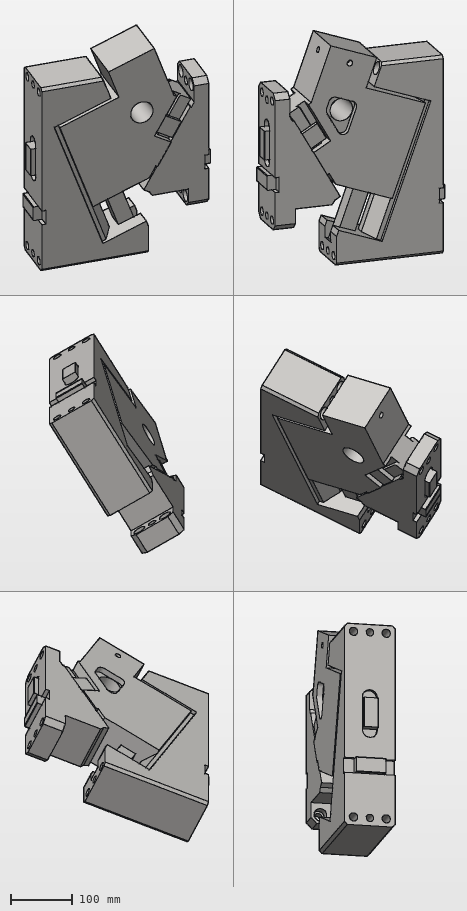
import cadquery as cq
import math

LEAN = math.radians(20)
RAMP_LEAN = math.radians(30)
WEDGE = LEAN + RAMP_LEAN

front_width = 85.0
front_depth = 185.0
front_height = 340.5
front_chamfer = 5.0
seat_foot = (106.2, 33.5)
seat_length = 246.5
lower_lip_reach = 80.0
upper_lip_reach = 104.5
seat_gap = 8.0
ridge_width = 71.5
ridge_crest_width = 15.0
ridge_height = 25.0
guide_bar_size = 28.0
guide_bar_offset = 39.0
lip_slot_depth = 28.0

slide_bottom = 73.2
slide_top = 241.3
head_top = 294.8
head_front = 117.2
head_back = 202.0
ramp_nose = 171.0
relief_end = 46.5
relief_gap = 3.8
notch_floor = 94.0
notch_height = 33.8
tongue_width = 58.5
undercut_width = 45.5
undercut_start = 21.2
lip_radius = 3.8
window_depth = 10.0
window_top = 214.0
window_front = 122.0
window_back = 172.2
window_ramp_gap = 52.5
window_radius = 9.5
eye_diameter = 38.7
eye_along = 194.2
eye_away = 142.3
pin_hole_diameter = 9.5
pin_hole_depth = 15.0
pin_hole_along = 274.5
drill_point_angle = 118

rear_width = 80.0
rear_chamfer = 10.0
rear_back = 290.5
rear_bottom = 70.0
rear_top = 305.0
flange_thickness = 25.5
foot_thickness = 35.3
belly_bottom = 105.0
toe_along = 55.0
toe_away = 96.0
toe_face = 10.5
toe_bevel_back = 192.5
ramp_recess_start = 161.2
ramp_recess = 2.3
gib_start = 100.5
gib_end = 131.5
gib_height = 31.0
gib_outer_width = 76.0
gib_inner_width = 60.7

key_length = 49.5
key_width = 24.5
key_protrusion = 8.7
key_chamfer = 1.0
keyway_length = 80.5
cross_slot_width = 25.5
keyway_depth = 7.0
front_upright_key_z = 189.7
front_cross_key_z = 100.5
rear_upright_key_z = 210.0
rear_cross_key_z = 150.0

side_hole_diameter = 13.5
side_counterbore = 21.0
middle_hole_diameter = 12.0
middle_counterbore = 14.0
front_hole_spacing = 27.5
front_hole_inset = 13.3
front_counterbore_floor = 76.0
rear_hole_spacing = 24.3
rear_hole_inset = 15.0
rear_middle_hole_drop = 5.5
rear_counterbore_depth = 7.5


def guide_point(along, away):
    """(Y, Z) of a point given along the guide seat and away from it."""
    y = seat_foot[0] - along * math.sin(LEAN) + away * math.cos(LEAN)
    z = seat_foot[1] + along * math.cos(LEAN) + away * math.sin(LEAN)
    return (y, z)


RAMP_TOE = guide_point(toe_along, toe_away)


def ramp_point(along, above):
    """(Y, Z) of a point given along the ramp from its toe and above it."""
    y = RAMP_TOE[0] + along * math.sin(RAMP_LEAN) - above * math.cos(RAMP_LEAN)
    z = RAMP_TOE[1] + along * math.cos(RAMP_LEAN) + above * math.sin(RAMP_LEAN)
    return (y, z)


def ramp_point_at_away(along, away):
    """Point at a given place along the ramp and a given distance from the seat."""
    above = (toe_away + along * math.sin(WEDGE) - away) / math.cos(WEDGE)
    return ramp_point(along, above)


def guide_point_above_ramp(along, above):
    """Point at a given place along the guide and a given height above the ramp."""
    along_ramp = (along - toe_along - above * math.sin(WEDGE)) / math.cos(WEDGE)
    return ramp_point(along_ramp, above)


def away_point_above_ramp(away, above):
    """Point at a given distance from the seat and a given height above the ramp."""
    along_ramp = (away - toe_away + above * math.cos(WEDGE)) / math.sin(WEDGE)
    return ramp_point(along_ramp, above)


def plate(points, x_min, x_max):
    """Prism of a (Y, Z) outline between two X positions."""
    return cq.Workplane("YZ", origin=(x_min, 0, 0)).polyline(points).close().extrude(x_max - x_min)


def middle_plate(points, width):
    return plate(points, -width / 2, width / 2)


def side_plates(points, inner_width, outer_width):
    """The same outline on both sides of the middle, between two overall widths."""
    left = plate(points, -outer_width / 2, -inner_width / 2)
    return left.union(plate(points, inner_width / 2, outer_width / 2))


def box_outline(place, first, last, low, high):
    """Rectangle in guide or ramp coordinates, `place` being the point function."""
    return [place(first, low), place(last, low), place(last, high), place(first, high)]


def y_cylinder(x, z, diameter, y_min, y_max):
    """Cylinder along Y between two Y positions."""
    return cq.Workplane("XZ", origin=(x, y_min, z)).circle(diameter / 2).extrude(y_min - y_max)


def x_cylinder(centre, radius):
    """Cylinder along X at a (Y, Z) centre, through the full width."""
    return cq.Workplane("YZ").center(*centre).circle(radius).extrude(front_width / 2, both=True)


def y_box(x_size, z_size, z, y_min, y_max):
    """Box centred on X = 0 and on the height z, between two Y positions."""
    return cq.Workplane("XY").box(x_size, y_max - y_min, z_size).translate((0, (y_min + y_max) / 2, z))


def add_keys(base, face_y, outward, upright_z, cross_z):
    """Cut both keyways into a mounting face and set the keys; `outward` is -1 or 1 along Y."""
    floor_y = face_y - outward * keyway_depth
    crown_y = face_y + outward * key_protrusion
    keyway = (
        cq.Workplane("XZ", origin=(0, face_y, upright_z))
        .slot2D(keyway_length, key_width, 90)
        .extrude(outward * keyway_depth)
    )
    slot_y = sorted([floor_y, face_y])
    cross_slot = y_box(front_width, cross_slot_width, cross_z, *slot_y)
    key_y = sorted([floor_y, crown_y])
    crown = "<Y" if outward < 0 else ">Y"
    upright_key = y_box(key_width, key_length, upright_z, *key_y)
    upright_key = upright_key.faces(crown).edges("|Z").chamfer(key_chamfer)
    cross_key = y_box(key_length, cross_slot_width, cross_z, *key_y)
    cross_key = cross_key.faces(crown).edges("|X").chamfer(key_chamfer)
    return base.cut(keyway).cut(cross_slot).union(upright_key).union(cross_key)


def hole_row(spacing):
    """(X, bore, counterbore) of the three holes in a mounting row."""
    return [
        (-spacing, side_hole_diameter, side_counterbore),
        (0, middle_hole_diameter, middle_counterbore),
        (spacing, side_hole_diameter, side_counterbore),
    ]


def make_guide():
    """Tapered ridge on the seat and the square bar that spans the slide pocket."""
    seat_plane = cq.Plane(
        origin=(0, *seat_foot),
        xDir=(1, 0, 0),
        normal=(0, -math.sin(LEAN), math.cos(LEAN)),
    )
    ridge = (
        cq.Workplane(seat_plane)
        .moveTo(-ridge_width / 2, -seat_gap)
        .lineTo(ridge_width / 2, -seat_gap)
        .lineTo(ridge_width / 2, seat_gap)
        .lineTo(ridge_crest_width / 2, ridge_height)
        .lineTo(-ridge_crest_width / 2, ridge_height)
        .lineTo(-ridge_width / 2, seat_gap)
        .close()
        .extrude(seat_length)
    )
    bar_outline = box_outline(
        guide_point, 0, seat_length, guide_bar_offset, guide_bar_offset + guide_bar_size
    )
    return ridge.union(middle_plate(bar_outline, guide_bar_size))


def make_front_base():
    lower_lip_drop = (guide_point(0, lower_lip_reach)[0] - front_depth) / math.sin(LEAN)
    upper_lip_end = guide_point(seat_length, upper_lip_reach)
    rise = front_height - upper_lip_end[1]
    outline = [
        (0, 0),
        (front_depth, 0),
        guide_point(lower_lip_drop, lower_lip_reach),
        guide_point(0, lower_lip_reach),
        seat_foot,
        guide_point(seat_length, 0),
        upper_lip_end,
        (upper_lip_end[0] - rise * math.tan(LEAN), front_height),
        (0, front_height),
    ]
    base = middle_plate(outline, front_width)
    base = base.faces("<Z or >Z").edges("|Y").chamfer(front_chamfer)
    slot_outline = box_outline(
        guide_point, -lip_slot_depth, 0, guide_bar_offset + guide_bar_size, front_depth
    )
    base = base.cut(middle_plate(slot_outline, guide_bar_size))
    base = base.union(make_guide())
    top_row_z = front_height - front_hole_inset
    for x, bore, counterbore in hole_row(front_hole_spacing):
        base = base.cut(y_cylinder(x, top_row_z, bore, 0, front_depth))
        base = base.cut(y_cylinder(x, top_row_z, counterbore, front_counterbore_floor, front_depth))
        base = base.cut(y_cylinder(x, front_hole_inset, bore, 0, front_depth))
    return add_keys(base, 0, -1, front_upright_key_z, front_cross_key_z)


def make_window():
    """Shallow rounded window around the eye, on the -X face."""
    outline = [
        guide_point(window_top, window_front),
        guide_point(window_top, window_back),
        away_point_above_ramp(window_back, window_ramp_gap),
        away_point_above_ramp(window_front, window_ramp_gap),
    ]
    window = plate(outline, -front_width / 2, -front_width / 2 + window_depth)
    return window.edges("|X").fillet(window_radius)


def make_side_notches():
    """Notches beside the tongue, with a deeper undercut behind its rounded lip."""
    past_nose = ramp_nose + notch_height
    notch = side_plates(
        box_outline(ramp_point, notch_floor, past_nose, 0, notch_height),
        tongue_width,
        front_width,
    )
    undercut = side_plates(
        box_outline(ramp_point, notch_floor, past_nose, undercut_start, notch_height),
        undercut_width,
        tongue_width,
    )
    lip_inner = ramp_nose - lip_radius
    lip_low = undercut_start - lip_radius
    corner = side_plates(
        box_outline(ramp_point, lip_inner, ramp_nose, lip_low, undercut_start),
        undercut_width,
        tongue_width,
    )
    lip_round = x_cylinder(ramp_point(lip_inner, lip_low), lip_radius)
    return notch.union(undercut).union(corner.cut(lip_round))


def pin_hole(start, direction):
    """Drilled hole with a pointed end."""
    radius = pin_hole_diameter / 2
    point_length = radius / math.tan(math.radians(drill_point_angle / 2))
    axis = cq.Vector(*direction)
    straight = cq.Solid.makeCylinder(radius, pin_hole_depth, cq.Vector(*start), axis)
    tip_start = cq.Vector(*start) + axis * pin_hole_depth
    return cq.Workplane(straight.fuse(cq.Solid.makeCone(radius, 0, point_length, tip_start, axis)))


def make_slide():
    outline = [
        guide_point(slide_bottom, seat_gap),
        guide_point(slide_top, seat_gap),
        guide_point(slide_top, head_front),
        guide_point(head_top, head_front),
        guide_point(head_top, head_back),
        ramp_point_at_away(ramp_nose, head_back),
        ramp_point(ramp_nose, 0),
        ramp_point(relief_end, 0),
        ramp_point(relief_end, relief_gap),
        guide_point_above_ramp(slide_bottom, relief_gap),
    ]
    slide = middle_plate(outline, front_width)
    slide = slide.cut(make_side_notches())
    slide = slide.cut(make_guide())
    slide = slide.cut(make_window())
    slide = slide.cut(x_cylinder(guide_point(eye_along, eye_away), eye_diameter / 2))
    head_middle = (head_front + head_back) / 2
    side_start = (-front_width / 2, *guide_point(pin_hole_along, head_middle))
    back_start = (0, *guide_point(pin_hole_along, head_back))
    slide = slide.cut(pin_hole(side_start, (1, 0, 0)))
    return slide.cut(pin_hole(back_start, (0, -math.cos(LEAN), -math.sin(LEAN))))


def make_rear_base():
    flange_front = rear_back - flange_thickness
    foot_front = rear_back - foot_thickness
    recess_top_run = ramp_recess * math.cos(RAMP_LEAN)
    ramp_end = (flange_front - RAMP_TOE[0] - recess_top_run) / math.sin(RAMP_LEAN)
    outline = [
        (rear_back, rear_bottom),
        (rear_back, rear_top),
        (flange_front, rear_top),
        ramp_point(ramp_end, -ramp_recess),
        ramp_point(ramp_recess_start, -ramp_recess),
        ramp_point(ramp_recess_start, 0),
        RAMP_TOE,
        ramp_point(0, -toe_face),
        (toe_bevel_back, belly_bottom),
        (foot_front, belly_bottom),
        (foot_front, rear_bottom),
    ]
    base = middle_plate(outline, rear_width)
    base = base.faces("<Z or >Z").edges("|Y").chamfer(rear_chamfer)
    gibs = side_plates(
        box_outline(ramp_point, gib_start, gib_end, -ramp_recess, gib_height),
        gib_inner_width,
        gib_outer_width,
    )
    base = base.union(gibs)
    counterbore_floor = flange_front + rear_counterbore_depth
    flange_row_z = rear_top - rear_hole_inset
    foot_row_z = rear_bottom + rear_hole_inset
    for x, bore, counterbore in hole_row(rear_hole_spacing):
        flange_hole_z = flange_row_z - (rear_middle_hole_drop if x == 0 else 0)
        base = base.cut(y_cylinder(x, flange_hole_z, bore, flange_front, rear_back))
        base = base.cut(y_cylinder(x, flange_hole_z, counterbore, flange_front, counterbore_floor))
        base = base.cut(y_cylinder(x, foot_row_z, bore, foot_front, rear_back))
        base = base.cut(y_cylinder(x, foot_row_z, counterbore, foot_front, counterbore_floor))
    return add_keys(base, rear_back, 1, rear_upright_key_z, rear_cross_key_z)


front_base = make_front_base()
slide = make_slide()
rear_base = make_rear_base()

result = cq.Compound.makeCompound([front_base.val(), slide.val(), rear_base.val()])